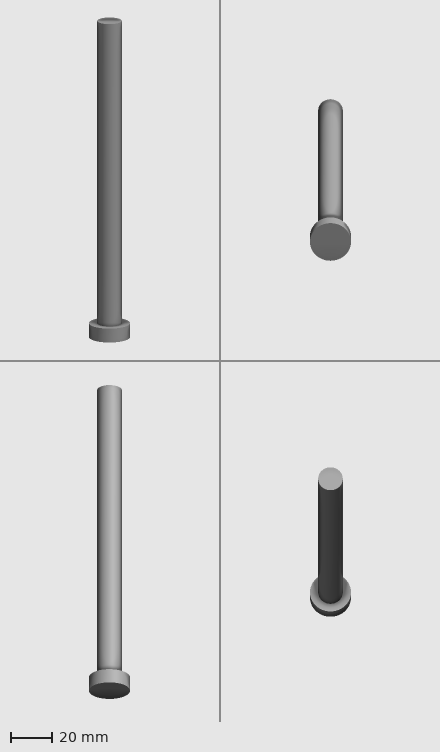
import cadquery as cq

total_length = 160.0
head_diameter = 20.0
head_height = 7.0
shaft_diameter = 12.0

head = cq.Workplane("XY").circle(head_diameter / 2).extrude(head_height)

shaft = cq.Workplane("XY").circle(shaft_diameter / 2).extrude(total_length)

result = head.union(shaft)